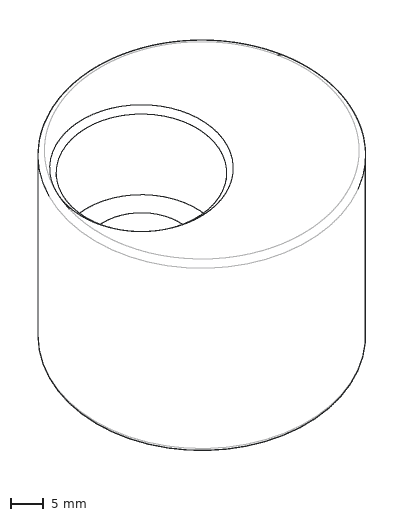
import cadquery as cq

body_diameter = 50.0
body_height = 40.0
edge_radius = 1.0

bore_offset_y = -10.0
bore_diameter = 26.0
bore_depth = 18.0
bore_chamfer = 1.0
through_diameter = 18.0


def make_body():
    """Cylinder standing on Z = 0 with both rims rounded."""
    cylinder = cq.Workplane("XY").circle(body_diameter / 2).extrude(body_height)
    return cylinder.edges("%CIRCLE").fillet(edge_radius)


def make_stepped_bore():
    """Revolved cutter: through hole, counterbore and chamfered mouth."""
    through_radius = through_diameter / 2
    bore_radius = bore_diameter / 2
    floor_z = body_height - bore_depth
    profile = (
        cq.Workplane("XZ", origin=(0, bore_offset_y, 0))
        .moveTo(0, 0)
        .lineTo(through_radius, 0)
        .lineTo(through_radius, floor_z)
        .lineTo(bore_radius, floor_z)
        .lineTo(bore_radius, body_height - bore_chamfer)
        .lineTo(bore_radius + bore_chamfer, body_height)
        .lineTo(0, body_height)
        .close()
    )
    return profile.revolve(360, (0, 0, 0), (0, 1, 0))


result = make_body().cut(make_stepped_bore())